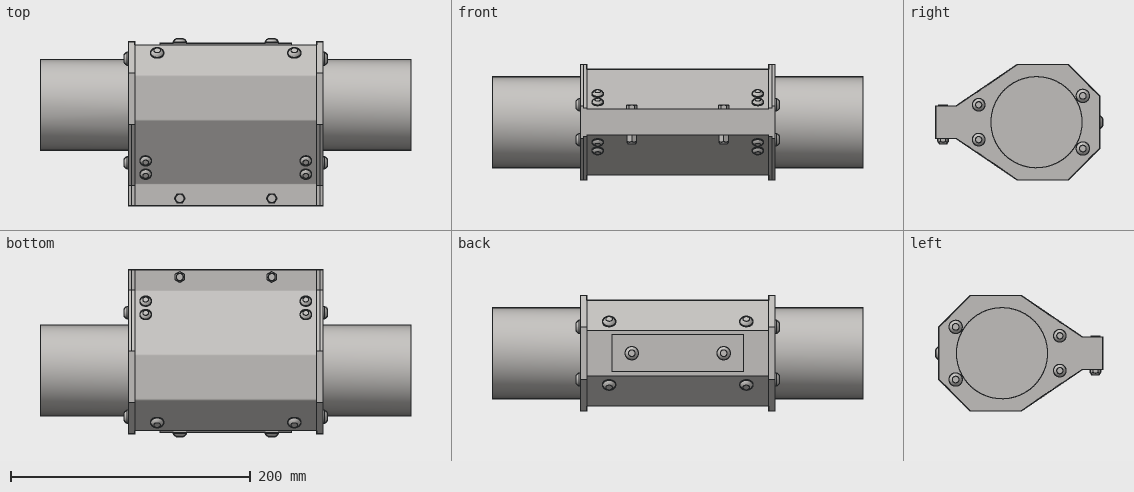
import cadquery as cq
import math

bar_length = 309.5
bar_diameter = 76.2

housing_half_length = 76.0
housing_back = 50.0
housing_half_height = 44.3
housing_chamfer_top = 24.8
housing_slope_top = -13.0
housing_slope_foot = -66.3
housing_tongue_half = 10.8
top_bend_radius = 2.5
tongue_bend_radius = 1.2

sheet_thickness = 2.8
plate_back = 53.0
plate_half_height = 48.3
plate_chamfer = 26.3
plate_slope_top = -16.0
plate_slope_foot = -67.2
outer_tongue_half = 13.5
inner_tongue_half = 12.0
front_face = -84.2

cover_half_length = 55.0
cover_height = 31.0
cover_thickness = 1.5

large_head_diameter = 11.0
medium_head_diameter = 10.5
small_head_diameter = 9.5
head_height = 3.7
small_head_height = 3.0
head_rim = 1.0
head_top_ratio = 0.5
dome_shoulder_ratio = 0.79
dome_rise_ratio = 0.61

plate_back_screws = (38.7, 22.0)
plate_front_screws = (-48.3, 14.5)
slope_screw_x = 67.0
slope_screw_ys = (-46.5, -57.5)
chamfer_screw_x = 57.3
chamfer_screw_y = 43.0
bolt_x = 38.5
tongue_bolt_y = -78.0

hex_flats = 7.7
hex_corners = hex_flats / math.cos(math.pi / 6)
bolt_head_height = 3.7
nut_height = 7.5
nut_cone_height = 2.5
nut_cone_inset = 1.5
bolt_cone_height = 0.5
bolt_cone_inset = 1.0

embed = 1.0


def mirrored_outline(upper_points):
    """Closed YZ outline from its upper half, mirrored about Z = 0."""
    lower_points = [(y, -z) for y, z in reversed(upper_points)]
    return cq.Workplane("YZ").polyline(upper_points + lower_points).close()


def bend_edges(body, y, z, radius):
    """Round the two lengthwise edges at (y, z) and (y, -z)."""
    reach = 0.3
    for edge_z in (-z, z):
        near_edge = cq.selectors.BoxSelector(
            (-reach, y - reach, edge_z - reach),
            (reach, y + reach, edge_z + reach),
        )
        body = body.edges(near_edge).fillet(radius)
    return body


def housing():
    chamfer_drop = housing_back - housing_chamfer_top
    upper = [
        (housing_back, housing_half_height - chamfer_drop),
        (housing_chamfer_top, housing_half_height),
        (housing_slope_top, housing_half_height),
        (housing_slope_foot, housing_tongue_half),
        (front_face, housing_tongue_half),
    ]
    body = mirrored_outline(upper).extrude(housing_half_length, both=True)
    body = bend_edges(body, housing_chamfer_top, housing_half_height, top_bend_radius)
    body = bend_edges(body, housing_slope_top, housing_half_height, top_bend_radius)
    return bend_edges(body, housing_slope_foot, housing_tongue_half, tongue_bend_radius)


def end_sheet(inner_x, tongue_half):
    upper = [
        (plate_back, plate_half_height - plate_chamfer),
        (plate_back - plate_chamfer, plate_half_height),
        (plate_slope_top, plate_half_height),
        (plate_slope_foot, tongue_half),
        (front_face, tongue_half),
    ]
    return mirrored_outline(upper).extrude(sheet_thickness).translate((inner_x, 0, 0))


def screw_head(diameter, height, seat, normal):
    """Domed head with a flat top, standing on the seat point along the normal."""
    radius = diameter / 2
    top_radius = radius * head_top_ratio
    dome_height = height - head_rim
    shoulder = (dome_shoulder_ratio * radius, head_rim + dome_height * dome_rise_ratio)
    head = (
        cq.Workplane("XZ")
        .moveTo(0, -embed)
        .lineTo(radius, -embed)
        .lineTo(radius, head_rim)
        .threePointArc(shoulder, (top_radius, height))
        .lineTo(0, height)
        .close()
        .revolve(360, (0, 0, 0), (0, 1, 0))
    )
    x_direction = (0, 1, 0) if abs(normal[0]) > 0.5 else (1, 0, 0)
    plane = cq.Plane(origin=seat, xDir=x_direction, normal=normal)
    return cq.Workplane(head.val().moved(cq.Location(plane)))


def hex_fastener(height, cone_height, cone_inset, corner_angle):
    """Hexagon standing on Z = 0, its outer end turned down to a cone."""
    hexagon = (
        cq.Workplane("XY", origin=(0, 0, -embed))
        .polygon(6, hex_corners)
        .extrude(height + embed)
        .rotate((0, 0, 0), (0, 0, 1), corner_angle)
    )
    envelope = (
        cq.Workplane("XY", origin=(0, 0, -embed))
        .circle(hex_corners / 2)
        .extrude(height + embed)
        .faces(">Z")
        .chamfer(cone_height, cone_inset)
    )
    return hexagon.intersect(envelope)


def fasteners():
    slope_run = housing_slope_top - housing_slope_foot
    slope_rise = housing_half_height - housing_tongue_half
    chamfer_z = housing_half_height + housing_chamfer_top - chamfer_screw_y
    plate_outer_x = housing_half_length + 2 * sheet_thickness
    nut = hex_fastener(nut_height, nut_cone_height, nut_cone_inset, 90).rotate((0, 0, 0), (1, 0, 0), 180)
    bolt = hex_fastener(bolt_head_height, bolt_cone_height, bolt_cone_inset, 0)

    parts = []
    for side in (-1, 1):
        for half in (-1, 1):
            for diameter, (y, z) in (
                (large_head_diameter, plate_back_screws),
                (medium_head_diameter, plate_front_screws),
            ):
                seat = (side * plate_outer_x, y, half * z)
                parts.append(screw_head(diameter, head_height, seat, (side, 0, 0)))
            for y in slope_screw_ys:
                z = housing_tongue_half + (y - housing_slope_foot) * slope_rise / slope_run
                seat = (side * slope_screw_x, y, half * z)
                normal = (0, -slope_rise, half * slope_run)
                parts.append(screw_head(small_head_diameter, small_head_height, seat, normal))
            seat = (side * chamfer_screw_x, chamfer_screw_y, half * chamfer_z)
            parts.append(screw_head(large_head_diameter, head_height, seat, (0, 1, half)))
        seat = (side * bolt_x, housing_back + cover_thickness, 0)
        parts.append(screw_head(large_head_diameter, head_height, seat, (0, 1, 0)))
        parts.append(bolt.translate((side * bolt_x, tongue_bolt_y, housing_tongue_half)))
        parts.append(nut.translate((side * bolt_x, tongue_bolt_y, -housing_tongue_half)))
    return parts


cover = cq.Workplane("XY").box(2 * cover_half_length, 2 * cover_thickness, cover_height)
cover = cover.translate((0, housing_back, 0))

result = housing().union(cover)
inner_sheet = end_sheet(housing_half_length, inner_tongue_half)
outer_sheet = end_sheet(housing_half_length + sheet_thickness, outer_tongue_half)
for sheet in (inner_sheet, outer_sheet):
    result = result.union(sheet, clean=False).union(sheet.mirror("YZ"), clean=False)
bar = cq.Workplane("YZ").circle(bar_diameter / 2).extrude(bar_length / 2, both=True)
result = result.union(bar, clean=False)
for fastener in fasteners():
    result = result.union(fastener, clean=False)